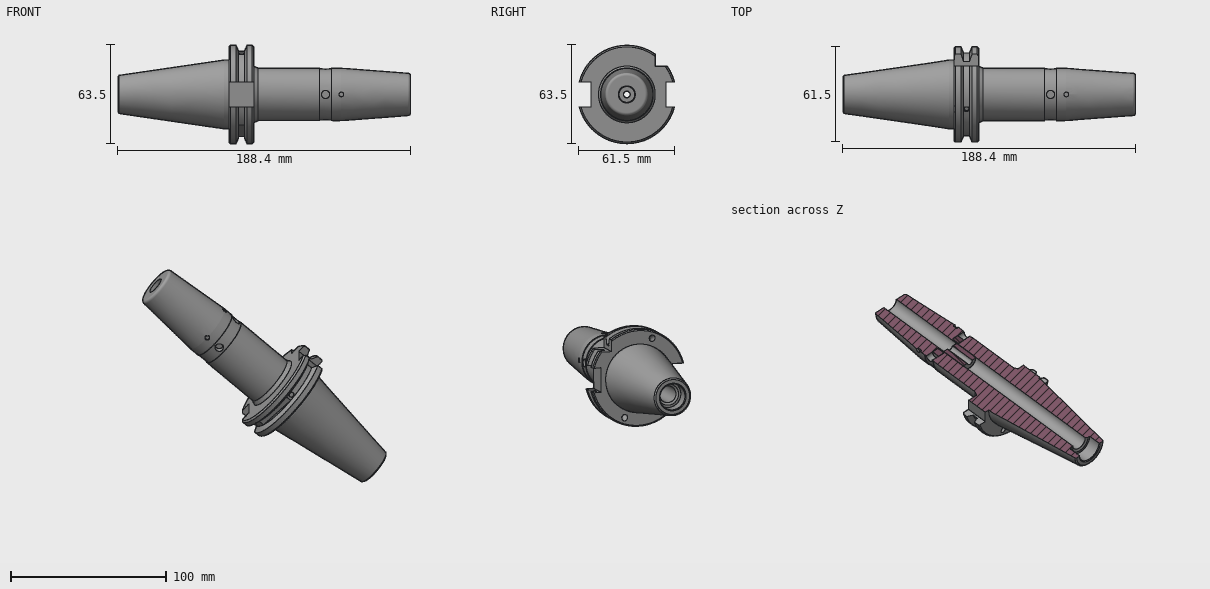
import cadquery as cq
import math

total_length = 188.4
gauge_x = 68.4
flange_start = 71.5
flange_end = 87.5
neck_start = 90.2
tip_taper_start = 143.7

shank_small_radius = 12.2
gauge_radius = 22.2
shank_edge_length = 0.8
shank_edge_height = 1.0

flange_radius = 63.5 / 2
flange_front_chamfer = 1.1
flange_back_chamfer = 0.8
groove_x = 79.5
groove_floor_radius = 27.9
groove_floor_width = 3.5
groove_mouth_width = 7.2
groove_flat_distance = 24.3
groove_flat_angle = 16.0

slot_width = 16.0
deep_slot_floor = 23.2
shallow_slot_floor = 25.2
notch_corner = 18.3

neck_radius = 17.0
neck_foot_radius = 18.3
band_start = 129.6
band_end = 137.5
band_depth = 0.4
tip_radius = 13.5
tip_edge_radius = 1.9

pilot_radius = 9.0
pilot_chamfer = 0.5
pilot_depth = 9.2
countersink_radius = 7.0
countersink_depth = 1.0
bore_radius = 5.5

stop_start = 113.0
stop_length = 18.8
stop_channel_diameter = 4.1
stop_chamfer = 0.4

coolant_angle = 20.0
coolant_half_turns = (0, 180)
coolant_entry_radius = 27.1
coolant_diameter = 3.8
coolant_slant = 25.0
plug_diameter = 3.2
plug_recess = 1.9
plug_length = 4.7

quarter_turns = (0, 90, 180, 270)
balance_hole_diameter = 5.3
balance_screw_recess = 5.7
balance_screw_length = 4.7
balance_hole_x = (band_start + band_end) / 2
vent_diameter = 3.0
vent_depth = 1.5


def turned(points):
    """Solid of revolution about X from (x, radius) points; both ends are closed on the axis."""
    axis_ends = [(points[0][0], 0)] + points + [(points[-1][0], 0)]
    return cq.Workplane("XZ").polyline(axis_ends).close().revolve(360, (0, 0, 0), (1, 0, 0))


def radial_cylinder(x, outer_radius, length, diameter, angle):
    """Cylinder pointing at the axis; its outer end is at outer_radius, angle is from +Z toward -Y."""
    upright = cq.Workplane("XY", origin=(x, 0, outer_radius - length)).circle(diameter / 2).extrude(length)
    return upright.rotate((0, 0, 0), (1, 0, 0), angle)


def holder_outside():
    taper_slope = (gauge_radius - shank_small_radius) / gauge_x
    shank_edge_radius = shank_small_radius + taper_slope * shank_edge_length
    back_crest = groove_x - groove_mouth_width / 2
    front_crest = groove_x + groove_mouth_width / 2
    back_floor = groove_x - groove_floor_width / 2
    front_floor = groove_x + groove_floor_width / 2
    shank = [
        (0, shank_edge_radius - shank_edge_height),
        (shank_edge_length, shank_edge_radius),
        (gauge_x, gauge_radius),
        (flange_start, gauge_radius),
    ]
    flange = [
        (flange_start, flange_radius - flange_back_chamfer),
        (flange_start + flange_back_chamfer, flange_radius),
        (back_crest, flange_radius),
        (back_floor, groove_floor_radius),
        (front_floor, groove_floor_radius),
        (front_crest, flange_radius),
        (flange_end - flange_front_chamfer, flange_radius),
        (flange_end, flange_radius - flange_front_chamfer),
    ]
    nose = [
        (flange_end, neck_foot_radius),
        (neck_start, neck_radius),
        (band_start, neck_radius),
        (band_start, neck_radius - band_depth),
        (band_end, neck_radius - band_depth),
        (band_end, neck_radius),
        (tip_taper_start, neck_radius),
        (total_length, tip_radius),
    ]
    return turned(shank + flange + nose).faces(">X").edges().fillet(tip_edge_radius)


def axial_bore():
    return turned([
        (0, pilot_radius),
        (pilot_chamfer, pilot_radius - pilot_chamfer),
        (pilot_depth, pilot_radius - pilot_chamfer),
        (pilot_depth, countersink_radius),
        (pilot_depth + countersink_depth, bore_radius),
        (total_length, bore_radius),
    ])


def flange_cutouts():
    """Two drive slots of unequal depth across the flange and the square orientation notch."""
    length = flange_end - flange_start

    def block(y_start, z_start, height):
        corner = (flange_start, y_start, z_start)
        return cq.Workplane("XY", origin=corner).box(length, flange_radius, height, centered=False)

    deep_slot = block(-deep_slot_floor - flange_radius, -slot_width / 2, slot_width)
    shallow_slot = block(shallow_slot_floor, -slot_width / 2, slot_width)
    notch = block(notch_corner, notch_corner, flange_radius)
    return deep_slot.union(shallow_slot).union(notch)


def groove_flat():
    """Flat milled into the groove floor, tilted from -Z toward -Y."""
    outline = cq.Workplane("XY", origin=(groove_x, 0, -flange_radius))
    cutter = outline.rect(groove_floor_width, 2 * flange_radius).extrude(flange_radius - groove_flat_distance)
    return cutter.rotate((0, 0, 0), (1, 0, 0), -groove_flat_angle)


def coolant_channel(angle):
    """Channel slanting inward from the back face of the flange to the middle of a plug hole."""
    slant = math.radians(coolant_slant)
    length = (groove_x - flange_start) / math.cos(slant)
    direction = cq.Vector(math.cos(slant), 0, -math.sin(slant))
    entry = cq.Vector(flange_start, 0, coolant_entry_radius)
    start = entry - direction * coolant_diameter
    channel = cq.Solid.makeCylinder(coolant_diameter / 2, length + coolant_diameter, start, direction)
    return cq.Workplane(channel).rotate((0, 0, 0), (1, 0, 0), angle)


def plug_hole(angle):
    """Radial hole from the groove floor that crosses the inner end of a coolant channel."""
    length = plug_recess + plug_length
    overrun = flange_radius - groove_floor_radius
    return radial_cylinder(groove_x, flange_radius, length + overrun, plug_diameter, angle)


def balance_hole(angle):
    length = balance_screw_recess + balance_screw_length
    return radial_cylinder(balance_hole_x, neck_radius, length, balance_hole_diameter, angle)


def vent_recess(angle):
    return radial_cylinder(tip_taper_start, neck_radius, vent_depth, vent_diameter, angle)


def make_holder():
    holder = holder_outside().cut(axial_bore()).cut(flange_cutouts()).cut(groove_flat())
    for half_turn in coolant_half_turns:
        holder = holder.cut(coolant_channel(coolant_angle + half_turn))
        holder = holder.cut(plug_hole(coolant_angle + half_turn))
    for angle in quarter_turns:
        holder = holder.cut(balance_hole(angle)).cut(vent_recess(angle))
    return holder


def make_stop_screw():
    blank = cq.Workplane("YZ", origin=(stop_start, 0, 0)).circle(bore_radius).extrude(stop_length)
    blank = blank.faces("<X or >X").chamfer(stop_chamfer)
    return blank.faces("<X").workplane().hole(stop_channel_diameter)


def make_coolant_plug(angle):
    return radial_cylinder(groove_x, groove_floor_radius - plug_recess, plug_length, plug_diameter, angle)


def make_balance_screw(angle):
    outer_end = neck_radius - balance_screw_recess
    return radial_cylinder(balance_hole_x, outer_end, balance_screw_length, balance_hole_diameter, angle)


holder = make_holder()
stop_screw = make_stop_screw()
coolant_plugs = [make_coolant_plug(coolant_angle + half_turn) for half_turn in coolant_half_turns]
balance_screws = [make_balance_screw(angle) for angle in quarter_turns]

bodies = [holder, stop_screw] + coolant_plugs + balance_screws
result = cq.Compound.makeCompound([body.val() for body in bodies])